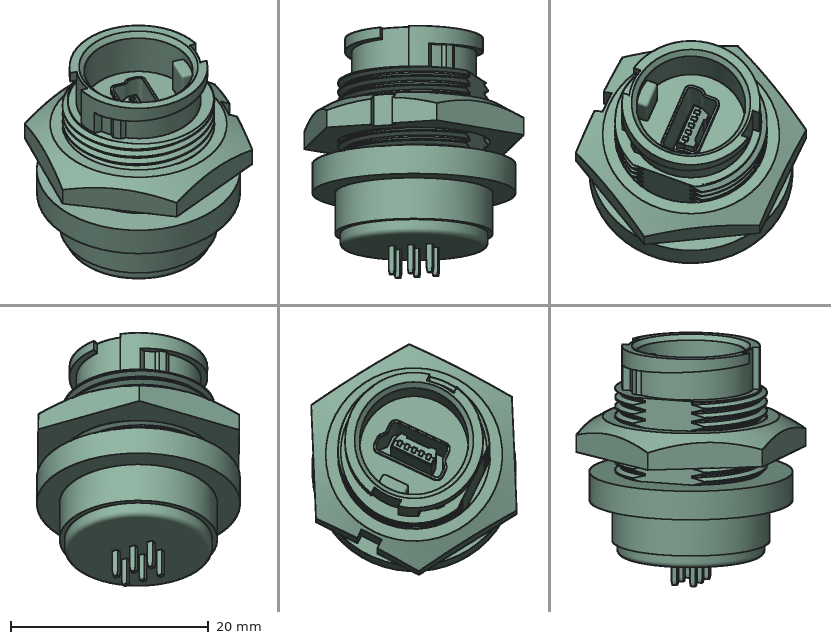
import cadquery as cq
import math

rear_step_top = 1.39
flange_bottom = 5.57
flange_top = 8.5
nut_bottom = 10.82
nut_top = 14.2
thread_top = 17.12
barrel_top = 21.45

rear_step_radius = 7.47
rear_step_fillet = 0.54
rear_body_radius = 7.98
flange_radius = 10.29

thread_crest_radius = 7.69
thread_root_radius = 7.13
thread_pitch = 0.94
thread_flank_angle = 30.0
thread_crest_width = thread_pitch / 8
thread_root_overlap = 0.07
thread_start = 7.42
thread_turns = 11
thread_clearance = 0.005
flat_distance = 6.66

barrel_radius = 6.98
groove_radius = 6.3
entry_slot_half_width = 1.5
stop_lug_edge = 3.4
catch_radius = 6.62
catch_half_x = 5.28
catch_half_y = 4.6
ramp_mid_height = 20.0
ramp_slope = 0.057

bore_radius = 5.5
bore_chamfer = 0.5
bore_floor = 16.73
key_half_width = 1.43
key_inner_y = 4.15
key_height = 3.35
key_fillet = 0.27

port_half_width_upper = 3.6
port_half_width_lower = 3.1
port_top_y = 1.7
port_bottom_y = -1.7
port_upper_side_end = 0.36
port_lower_side_end = -0.2
port_corner_radius = 0.44
port_rim_width = 0.25
port_rim_height = 0.41
port_depth = 6.08

tongue_top = bore_floor - 0.49
tongue_half_width = 2.29
tongue_back_y = 0.63
tongue_slope_start = -0.15
tongue_shoulder_y = -0.25
tongue_foot_half_width = 1.97
tongue_foot_y = -1.15
tongue_relief_half_width = 1.35
tongue_relief_top_half_width = 1.22
tongue_relief_y = -0.92
tongue_slope_angle = 22.0
tongue_chamfer = 0.1

contact_count = 5
contact_pitch = 0.8
contact_width = 0.4
contact_back_y = 0.25
contact_front_y = -0.32
contact_proud = 0.07
contact_thickness = 0.36

pin_width = 0.58
pin_length = 2.87
pin_tip_length = 0.41
pin_tip_taper = 10.0
pin_column_pitch = 2.0
pin_row_pitch = 2.0

nut_across_flats = 20.3
nut_turn = -2.0
nut_flat_top_radius = 8.93
nut_chamfer_angle = 30.0
nut_notch_width = 2.29
nut_notch_depth = 0.9


def cylinder(radius, bottom, top):
    return cq.Workplane("XY").workplane(offset=bottom).circle(radius).extrude(top - bottom)


def block(x_min, x_max, y_min, y_max, z_min, z_max):
    size = (x_max - x_min, y_max - y_min, z_max - z_min)
    return cq.Workplane("XY").box(*size, centered=False).translate((x_min, y_min, z_min))


def make_rear():
    """Rear step with its rounded edge, rear body and flange."""
    step = cylinder(rear_step_radius, 0, rear_step_top).faces("<Z").edges().fillet(rear_step_fillet)
    body = cylinder(rear_body_radius, rear_step_top, flange_bottom)
    flange = cylinder(flange_radius, flange_bottom, flange_top)
    return step.union(body).union(flange)


def make_thread_envelope():
    """Length of the threaded section, limited by the flat along the -X side."""
    reach = flange_radius
    return block(-flat_distance, reach, -reach, reach, flange_top, thread_top)


def make_thread_core():
    return cylinder(thread_root_radius, flange_top, thread_top).intersect(make_thread_envelope())


def make_thread_ridge():
    """Right-hand helical ridge, rooted slightly inside the core."""
    crest_half = thread_crest_width / 2
    inner_radius = thread_root_radius - thread_root_overlap
    flank_run = (thread_crest_radius - inner_radius) * math.tan(math.radians(thread_flank_angle))
    inner_half = crest_half + flank_run
    helix = cq.Wire.makeHelix(thread_pitch, thread_pitch * thread_turns, thread_root_radius)
    ridge = (
        cq.Workplane("XZ")
        .polyline([
            (inner_radius, -inner_half),
            (thread_crest_radius, -crest_half),
            (thread_crest_radius, crest_half),
            (inner_radius, inner_half),
        ])
        .close()
        .sweep(cq.Workplane(helix), isFrenet=True)
        .translate((0, 0, thread_start))
    )
    return ridge.intersect(make_thread_envelope())


def make_bayonet_groove():
    """Ramped groove on the -X side, open to the -Y entry slot, ending at a stop lug on the +Y side."""
    reach = flange_radius
    rise = ramp_slope * reach
    under_ramp = (
        cq.Workplane("YZ")
        .polyline([
            (-reach, thread_top),
            (reach, thread_top),
            (reach, ramp_mid_height - rise),
            (-reach, ramp_mid_height + rise),
        ])
        .close()
        .extrude(-reach)
    )
    ring = cylinder(reach, thread_top, barrel_top).cut(cylinder(groove_radius, thread_top, barrel_top))
    stop_lug = block(-stop_lug_edge, 0, 0, reach, thread_top, barrel_top)
    catch = cylinder(catch_radius, thread_top, barrel_top).intersect(
        block(-catch_half_x, 0, 0, catch_half_y, thread_top, barrel_top)
    )
    return ring.intersect(under_ramp).cut(stop_lug).cut(catch)


def make_entry_slots():
    """Full-height slots on the +Y and -Y sides, down to the groove radius."""
    reach = flange_radius
    strip = block(-entry_slot_half_width, entry_slot_half_width, -reach, reach, thread_top, barrel_top)
    return strip.cut(cylinder(groove_radius, thread_top, barrel_top))


def make_barrel():
    barrel = cylinder(barrel_radius, thread_top, barrel_top).cut(make_entry_slots())
    groove = make_bayonet_groove()
    for turn in (0, 180):
        barrel = barrel.cut(groove.rotate((0, 0, 0), (0, 0, 1), turn))
    return barrel


def make_bore():
    """Socket bore with a chamfered mouth."""
    return (
        cq.Workplane("XZ")
        .polyline([
            (0, bore_floor),
            (bore_radius, bore_floor),
            (bore_radius, barrel_top - bore_chamfer),
            (bore_radius + bore_chamfer, barrel_top),
            (0, barrel_top),
        ])
        .close()
        .revolve(360, (0, 0), (0, 1))
    )


def make_key():
    """Rounded polarising key standing on the bore floor at the +Y wall."""
    wall_middle_radius = (bore_radius + groove_radius) / 2
    key_top = bore_floor + key_height
    key = block(-key_half_width, key_half_width, key_inner_y, groove_radius, bore_floor, key_top)
    key = key.edges("|Z and <Y").fillet(key_fillet)
    key = key.faces(">Z").edges("not >Y").fillet(key_fillet)
    return key.intersect(cylinder(wall_middle_radius, bore_floor, key_top))


def make_port_opening():
    """Mini-USB opening, wide at +Y and narrow at -Y, from the top of the rim to the port floor."""
    right_side = [
        (port_half_width_upper, port_top_y),
        (port_half_width_upper, port_upper_side_end),
        (port_half_width_lower, port_lower_side_end),
        (port_half_width_lower, port_bottom_y),
    ]
    left_side = [(-x, y) for x, y in reversed(right_side)]
    return (
        cq.Workplane("XY")
        .workplane(offset=bore_floor - port_depth)
        .polyline(right_side + left_side)
        .close()
        .extrude(port_depth + port_rim_height)
        .edges("|Z")
        .fillet(port_corner_radius)
    )


def make_port_rim(opening):
    """Shell around the opening that stands proud of the bore floor."""
    outline = opening.faces(">Z").wires().toPending().offset2D(port_rim_width)
    return outline.extrude(-port_rim_height, combine=False)


def make_tongue():
    """Contact carrier rising from the port floor, with its front part sloping down towards -Y."""
    right_side = [
        (tongue_half_width, tongue_back_y),
        (tongue_half_width, tongue_shoulder_y),
        (tongue_foot_half_width, tongue_foot_y),
        (tongue_relief_half_width, tongue_foot_y),
        (tongue_relief_top_half_width, tongue_relief_y),
    ]
    left_side = [(-x, y) for x, y in reversed(right_side)]
    port_floor = bore_floor - port_depth
    tongue = (
        cq.Workplane("XY")
        .workplane(offset=port_floor)
        .polyline(right_side + left_side)
        .close()
        .extrude(tongue_top - port_floor)
        .faces(">Z")
        .edges(">Y or >X or <X")
        .chamfer(tongue_chamfer)
    )
    slope_drop = (tongue_slope_start - tongue_foot_y) * math.tan(math.radians(tongue_slope_angle))
    above_slope = (
        cq.Workplane("YZ")
        .polyline([
            (tongue_slope_start, tongue_top),
            (tongue_foot_y, tongue_top),
            (tongue_foot_y, tongue_top - slope_drop),
        ])
        .close()
        .extrude(tongue_half_width, both=True)
    )
    return tongue.cut(above_slope)


def make_contact(x):
    half = contact_width / 2
    top = tongue_top + contact_proud
    return block(x - half, x + half, contact_front_y, contact_back_y, top - contact_thickness, top)


def make_pin(x, y):
    """Square solder pin with a tapered tip."""
    shank_length = pin_length - pin_tip_length
    shank = cq.Workplane("XY").center(x, y).rect(pin_width, pin_width).extrude(-shank_length)
    tip = (
        cq.Workplane("XY")
        .workplane(offset=-shank_length)
        .center(x, y)
        .rect(pin_width, pin_width)
        .extrude(-pin_tip_length, taper=pin_tip_taper)
    )
    return shank.union(tip)


def make_housing():
    housing = make_rear().union(make_thread_core()).union(make_barrel())
    housing = housing.cut(make_bore()).union(make_key())
    opening = make_port_opening()
    housing = housing.union(make_port_rim(opening)).cut(opening).union(make_tongue())
    for index in range(contact_count):
        housing = housing.union(make_contact((index - (contact_count - 1) / 2) * contact_pitch))
    for column in (-1, 0, 1):
        for row in (-0.5, 0.5):
            housing = housing.union(make_pin(column * pin_column_pitch, row * pin_row_pitch))
    return housing.union(make_thread_ridge())


def make_nut():
    """Hexagon nut, chamfered on top, notched on the +Y flat; its bore slides over the thread crests."""
    corner_radius = nut_across_flats / 2 / math.cos(math.radians(30))
    chamfer_drop = (corner_radius - nut_flat_top_radius) * math.tan(math.radians(nut_chamfer_angle))
    hexagon = (
        cq.Workplane("XY")
        .workplane(offset=nut_bottom)
        .polygon(6, 2 * corner_radius)
        .extrude(nut_top - nut_bottom)
    )
    chamfered_blank = (
        cq.Workplane("XZ")
        .polyline([
            (0, nut_bottom),
            (corner_radius, nut_bottom),
            (corner_radius, nut_top - chamfer_drop),
            (nut_flat_top_radius, nut_top),
            (0, nut_top),
        ])
        .close()
        .revolve(360, (0, 0), (0, 1))
    )
    half_flats = nut_across_flats / 2
    half_notch = nut_notch_width / 2
    notch = block(-half_notch, half_notch, half_flats - nut_notch_depth, corner_radius, nut_bottom, nut_top)
    nut = hexagon.intersect(chamfered_blank).cut(notch)
    nut = nut.cut(cylinder(thread_crest_radius + thread_clearance, nut_bottom, nut_top))
    return nut.rotate((0, 0, 0), (0, 0, 1), nut_turn)


housing = make_housing()
nut = make_nut()

result = cq.Compound.makeCompound([housing.solids().val(), nut.solids().val()])